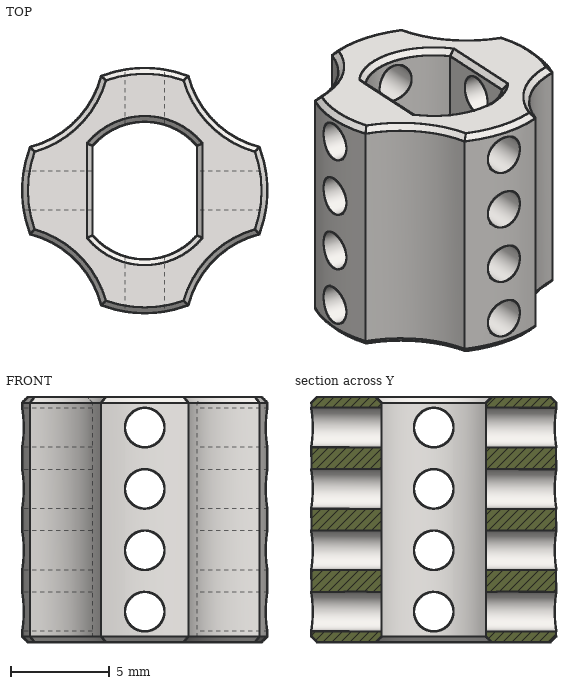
import cadquery as cq

block_unit = 12.5
outer_radius = block_unit / 2
height = block_unit
edge_chamfer = 0.3

flute_radius = 5.0
flute_axis_distance = 10.0
first_flute_angle = 45
flute_count = 4

bore_diameter = 7.0
bore_flat_width = 5.3

hole_diameter = 2.0
hole_count = 4
hole_pitch = height / hole_count


def fluted_body():
    flutes = (
        cq.Workplane("XY")
        .polarArray(flute_axis_distance, first_flute_angle, 360, flute_count)
        .circle(flute_radius)
        .extrude(height)
    )
    return cq.Workplane("XY").circle(outer_radius).extrude(height).cut(flutes)


def flatted_bore():
    flats = cq.Workplane("XY").rect(bore_flat_width, bore_diameter).extrude(height)
    return cq.Workplane("XY").circle(bore_diameter / 2).extrude(height).intersect(flats)


def cross_holes(plane):
    """Column of through holes along the normal of the given vertical plane."""
    hole_points = [(0, (i + 0.5) * hole_pitch) for i in range(hole_count)]
    return (
        cq.Workplane(plane)
        .pushPoints(hole_points)
        .circle(hole_diameter / 2)
        .extrude(block_unit, both=True)
    )


sleeve = fluted_body().cut(flatted_bore())

sleeve = sleeve.faces("<Z or >Z").edges().chamfer(edge_chamfer)

result = sleeve.cut(cross_holes("XZ")).cut(cross_holes("YZ"))